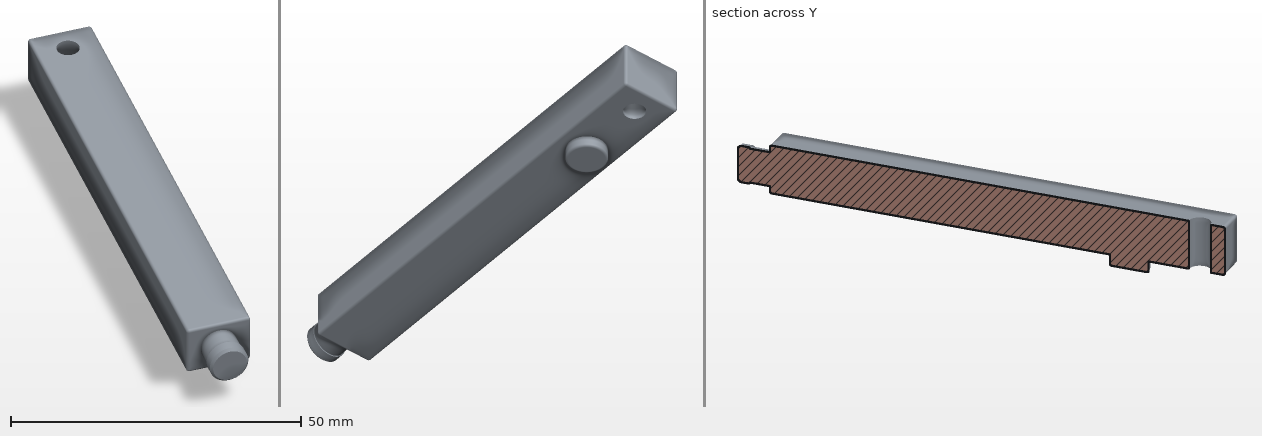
import cadquery as cq

total_length = 91.2
body_width = 11.6
total_height = 11.3

connector_length = 5.9
boss_height = 2.1
body_length = total_length - connector_length
body_height = total_height - boss_height
body_fillet = 0.5

hole_diameter = 4.0
hole_x = 4.7

boss_diameter = 7.4
boss_x = 18.0
boss_fillet = 0.5

neck_diameter = 6.6
collar_diameter = 7.0
collar_length = 2.2
collar_chamfer = 0.5
neck_length = connector_length - collar_length


def make_body():
    """Bar with its underside at Z = 0 and all edges rounded."""
    bar = cq.Workplane("XY").box(body_length, body_width, body_height, centered=(False, True, False))
    return bar.edges().fillet(body_fillet)


def make_boss():
    """Short disc hanging from the underside, rounded at its lower rim."""
    disc = cq.Workplane("XY").center(boss_x, 0).circle(boss_diameter / 2).extrude(-boss_height)
    return disc.faces("<Z").edges().fillet(boss_fillet)


def make_connector():
    """Stepped cylinder on the centre of the right end face."""
    end_plane = cq.Workplane("YZ", origin=(body_length, 0, body_height / 2))
    neck = end_plane.circle(neck_diameter / 2).extrude(neck_length)
    collar = end_plane.workplane(offset=neck_length).circle(collar_diameter / 2).extrude(collar_length)
    collar = collar.faces(">X").edges().chamfer(collar_chamfer)
    return neck.union(collar)


def make_hole():
    """Cutter for the vertical hole through the body."""
    return cq.Workplane("XY").center(hole_x, 0).circle(hole_diameter / 2).extrude(body_height)


result = make_body().union(make_boss()).union(make_connector()).cut(make_hole())